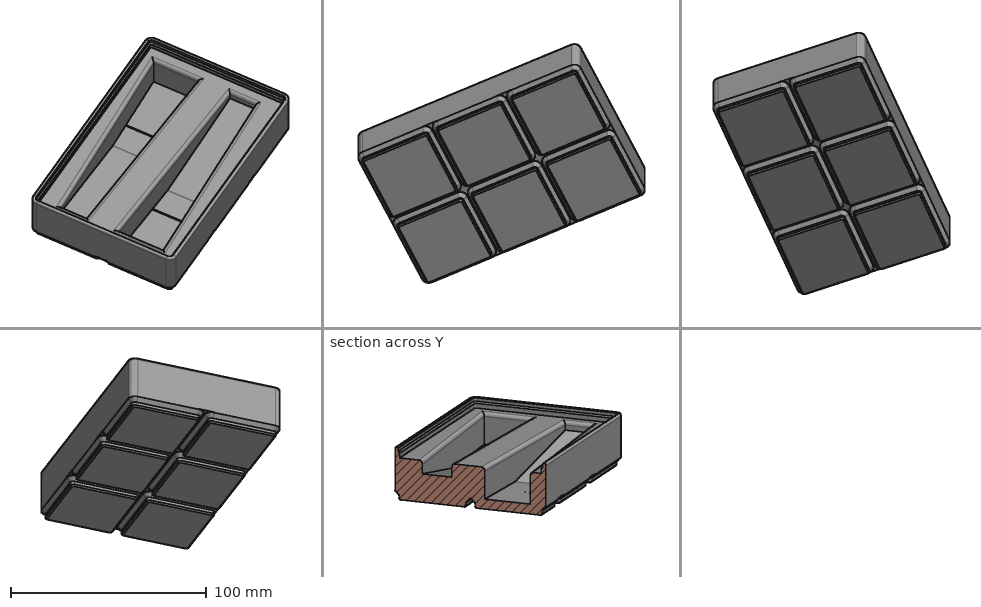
import cadquery as cq
import math

columns = 2
rows = 3
pitch = 42.0
foot_gap = 0.6
width = columns * pitch - foot_gap
length = rows * pitch - foot_gap
height = 28.0
corner_radius = 3.8

foot_width = pitch - foot_gap
foot_chamfer = 0.8
foot_band = 1.8
foot_flare = 2.1
base_height = 5.0

deck_height = 22.5
lip_round = 1.07
lip_wall_inset = 1.9
lip_wall_height = 1.8
lip_ledge = 0.9
sharp_height = height + lip_round * math.sqrt(2)

mouth_round = 2.0
crease_round = mouth_round
pocket_length = 107.4
pocket_wide_end = 26.0
pocket_narrow_end = 14.9
pocket_floor_height = 5.5
pocket_flat_length = 47.3
ramp_end_height = 17.6
left_pocket_center = (-20.5, -0.8, 0)
right_pocket_center = (18.5, -0.3, 0)


def rounded_block(size_x, size_y, radius, bottom, block_height):
    """Upright block with rounded vertical edges, centred on the Z axis."""
    block = cq.Workplane("XY").workplane(offset=bottom).rect(size_x, size_y).extrude(block_height)
    return block.edges("|Z").fillet(radius)


def flared_block(size_x, size_y, radius, bottom, flare):
    """Rounded block that grows by `flare` on every side over a height of `flare`."""
    sketch = cq.Sketch().rect(size_x, size_y).vertices().fillet(radius)
    return cq.Workplane("XY").workplane(offset=bottom).placeSketch(sketch).extrude(flare, taper=-45)


def make_foot():
    """One foot, built up from its tip at Z = 0 to the underside of the body."""
    band_width = foot_width - 2 * foot_flare
    band_radius = corner_radius - foot_flare
    tip_width = band_width - 2 * foot_chamfer
    flare_bottom = foot_chamfer + foot_band
    neck_bottom = flare_bottom + foot_flare
    foot = flared_block(tip_width, tip_width, band_radius - foot_chamfer, 0, foot_chamfer)
    foot = foot.union(rounded_block(band_width, band_width, band_radius, foot_chamfer, foot_band))
    foot = foot.union(flared_block(band_width, band_width, band_radius, flare_bottom, foot_flare))
    neck_height = base_height - neck_bottom
    return foot.union(rounded_block(foot_width, foot_width, corner_radius, neck_bottom, neck_height))


def make_lip_cavity():
    """Space inside the stacking lip, from the deck up to the sharp edge that the crest is rounded from."""
    wall_top = sharp_height - lip_wall_inset
    wall_bottom = wall_top - lip_wall_height
    ledge_bottom = wall_bottom - lip_ledge
    wall_x = width - 2 * lip_wall_inset
    wall_y = length - 2 * lip_wall_inset
    wall_radius = corner_radius - lip_wall_inset
    skirt_x = wall_x - 2 * lip_ledge
    skirt_y = wall_y - 2 * lip_ledge
    skirt_radius = wall_radius - lip_ledge
    cavity = rounded_block(skirt_x, skirt_y, skirt_radius, deck_height, ledge_bottom - deck_height)
    cavity = cavity.union(flared_block(skirt_x, skirt_y, skirt_radius, ledge_bottom, lip_ledge))
    cavity = cavity.union(rounded_block(wall_x, wall_y, wall_radius, wall_bottom, lip_wall_height))
    return cavity.union(flared_block(wall_x, wall_y, wall_radius, wall_top, lip_wall_inset))


def make_pocket():
    """Tapered pocket volume, wide end toward +Y, with a flat floor and a ramp up to the narrow end."""
    half_length = pocket_length / 2
    half_wide = pocket_wide_end / 2
    half_narrow = pocket_narrow_end / 2
    crease_y = half_length - pocket_flat_length
    taper_plan = (
        cq.Workplane("XY")
        .polyline([
            (-half_wide, half_length),
            (half_wide, half_length),
            (half_narrow, -half_length),
            (-half_narrow, -half_length),
        ])
        .close()
        .extrude(height)
    )
    side_profile = (
        cq.Workplane("YZ")
        .polyline([
            (half_length, pocket_floor_height),
            (crease_y, pocket_floor_height),
            (-half_length, ramp_end_height),
            (-half_length, deck_height),
            (half_length, deck_height),
        ])
        .close()
        .extrude(pocket_wide_end, both=True)
    )
    crease_point = (0, crease_y, pocket_floor_height)
    side_profile = side_profile.edges(cq.selectors.NearestToPointSelector(crease_point)).fillet(crease_round)
    return taper_plan.intersect(side_profile)


body = rounded_block(width, length, corner_radius, base_height, sharp_height - base_height)
body = body.cut(make_lip_cavity())
body = body.edges(">Z").fillet(lip_round)

pocket = make_pocket()
turned_pocket = pocket.rotate((0, 0, 0), (0, 0, 1), 180)
body = body.cut(pocket.translate(left_pocket_center))
body = body.cut(turned_pocket.translate(right_pocket_center))

deck_center = (0, 0, deck_height)
deck = body.faces(cq.selectors.NearestToPointSelector(deck_center)).val()
mouth_edges = [edge for wire in deck.innerWires() for edge in wire.Edges()]
body = body.newObject(mouth_edges).fillet(mouth_round)

result = body
foot = make_foot()
for column in range(columns):
    for row in range(rows):
        foot_x = (column - (columns - 1) / 2) * pitch
        foot_y = (row - (rows - 1) / 2) * pitch
        result = result.union(foot.translate((foot_x, foot_y, 0)))